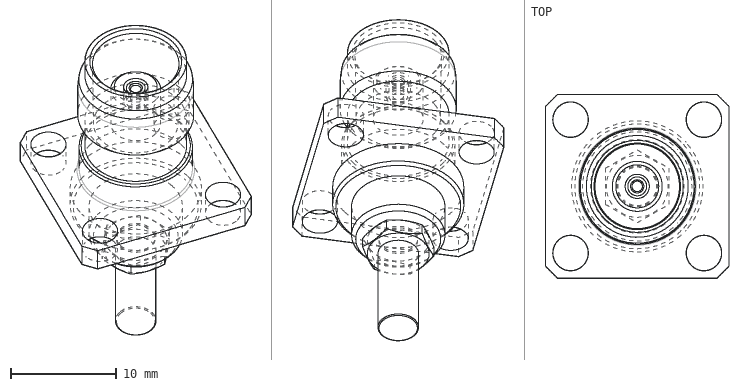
import cadquery as cq
import math


flange_width = 17.5
flange_thickness = 2.45
flange_corner_chamfer = 1.15
mount_hole_diameter = 3.35
mount_hole_spacing = 12.7

barrel_height = 14.5
barrel_radius = 4.85
collar_radius = 5.4
collar_height = 3.2
collar_chamfer = 0.2
collar_root_fillet = 0.2
ring_radius = 5.53
ring_shoulder_radius = 5.42
ring_bottom_z = 6.7
ring_full_bottom_z = 7.4
ring_full_top_z = 11.1
ring_shoulder_z = 12.1
ring_top_z = 12.65

mouth_radius = 4.38
mouth_depth = 0.35
bore_top_radius = 4.12
bore_floor_radius = 4.03
bore_depth = 8.3

insulator_radius = 2.38
insulator_depth = 3.45
insulator_chamfer = 0.33
insulator_bore_radius = 1.15
insulator_bore_depth = 2.0
contact_radius = 0.9
contact_recess = 0.14
contact_bore_radius = 0.5
contact_bore_depth = 2.0
contact_lead_in = 0.13

pilot_radius = 6.25
pilot_height = 2.5
pilot_chamfer = 0.3
body_radius = 4.45
body_height = 4.1
body_chamfer_height = 0.5
body_chamfer_width = 0.4

nut_across_flats = 6.0
nut_sides = 6
nut_height = 1.65
nut_gap = 0.2
nut_chamfer_angle = 30
nut_face_radius = 2.95
nut_neck_radius = 1.85
tube_radius = 1.93
tube_length = 9.45
tube_chamfer = 0.1

flange_bottom_z = -flange_thickness
pilot_bottom_z = flange_bottom_z - pilot_height
body_bottom_z = pilot_bottom_z - body_height
nut_top_z = body_bottom_z - nut_gap
nut_bottom_z = nut_top_z - nut_height
tube_bottom_z = nut_bottom_z - tube_length
insulator_top_z = barrel_height - insulator_depth
contact_top_z = insulator_top_z - contact_recess
bore_floor_z = barrel_height - bore_depth


def revolve_profile(points):
    """Turn a closed (radius, z) outline about the Z axis."""
    outline = cq.Workplane("XZ").polyline(points).close()
    return outline.revolve(360, (0, 0, 0), (0, 1, 0))


def cylinder(radius, bottom_z, top_z):
    return cq.Workplane("XY").workplane(offset=bottom_z).circle(radius).extrude(top_z - bottom_z)


def make_flange():
    plate = cq.Workplane("XY").workplane(offset=flange_bottom_z)
    plate = plate.rect(flange_width, flange_width).extrude(flange_thickness)
    plate = plate.edges("|Z").chamfer(flange_corner_chamfer)
    holes = plate.faces(">Z").workplane().rect(mount_hole_spacing, mount_hole_spacing, forConstruction=True)
    return holes.vertices().hole(mount_hole_diameter)


def make_barrel():
    """Barrel with its collar, filleted root and double-coned ring."""
    fillet_middle = collar_root_fillet * (1 - math.sqrt(0.5))
    outline = (
        cq.Workplane("XZ")
        .moveTo(0, 0)
        .lineTo(collar_radius + collar_root_fillet, 0)
        .threePointArc((collar_radius + fillet_middle, fillet_middle), (collar_radius, collar_root_fillet))
        .lineTo(collar_radius, collar_height - collar_chamfer)
        .lineTo(collar_radius - collar_chamfer, collar_height)
        .lineTo(barrel_radius, collar_height)
        .lineTo(barrel_radius, ring_bottom_z)
        .lineTo(ring_radius, ring_full_bottom_z)
        .lineTo(ring_radius, ring_full_top_z)
        .lineTo(ring_shoulder_radius, ring_shoulder_z)
        .lineTo(barrel_radius, ring_top_z)
        .lineTo(barrel_radius, barrel_height)
        .lineTo(0, barrel_height)
        .close()
    )
    return outline.revolve(360, (0, 0, 0), (0, 1, 0))


def make_socket_cavity():
    return revolve_profile([
        (0, barrel_height),
        (mouth_radius, barrel_height),
        (bore_top_radius, barrel_height - mouth_depth),
        (bore_floor_radius, bore_floor_z),
        (0, bore_floor_z),
    ])


def make_insulator():
    """Chamfered insulator post, hollow at the top around the contact."""
    post = cylinder(insulator_radius, bore_floor_z, insulator_top_z)
    post = post.faces(">Z").edges().chamfer(insulator_chamfer)
    hollow = cylinder(insulator_bore_radius, insulator_top_z - insulator_bore_depth, insulator_top_z)
    return post.cut(hollow)


def make_contact():
    """Tubular contact with a countersunk mouth."""
    pin = cylinder(contact_radius, bore_floor_z, contact_top_z)
    bore = cylinder(contact_bore_radius, contact_top_z - contact_bore_depth, contact_top_z)
    pin = pin.cut(bore)
    mouth_edge = cq.selectors.RadiusNthSelector(0)
    return pin.faces(">Z").edges(mouth_edge).chamfer(contact_lead_in)


def make_lower_body():
    return revolve_profile([
        (0, flange_bottom_z),
        (pilot_radius, flange_bottom_z),
        (pilot_radius, pilot_bottom_z + pilot_chamfer),
        (pilot_radius - pilot_chamfer, pilot_bottom_z),
        (body_radius, pilot_bottom_z),
        (body_radius, body_bottom_z + body_chamfer_height),
        (body_radius - body_chamfer_width, body_bottom_z),
        (0, body_bottom_z),
    ])


def make_nut():
    """Hexagon with flats facing +X and -X, corners trimmed by a cone at each end."""
    across_corners = nut_across_flats / math.cos(math.pi / nut_sides)
    hexagon = cq.Workplane("XY").workplane(offset=nut_bottom_z).polygon(nut_sides, across_corners)
    hexagon = hexagon.extrude(nut_height).rotate((0, 0, 0), (0, 0, 1), 180 / nut_sides)
    rim_radius = across_corners / 2
    cone_height = (rim_radius - nut_face_radius) * math.tan(math.radians(nut_chamfer_angle))
    trim = revolve_profile([
        (0, nut_bottom_z),
        (nut_face_radius, nut_bottom_z),
        (rim_radius, nut_bottom_z + cone_height),
        (rim_radius, nut_top_z - cone_height),
        (nut_face_radius, nut_top_z),
        (0, nut_top_z),
    ])
    return hexagon.intersect(trim)


def make_tube():
    tube = cylinder(tube_radius, tube_bottom_z, nut_bottom_z)
    return tube.faces("<Z").edges().chamfer(tube_chamfer)


barrel = make_barrel().cut(make_socket_cavity())
nut_neck = cylinder(nut_neck_radius, nut_top_z, body_bottom_z)

result = (
    make_flange()
    .union(barrel)
    .union(make_insulator())
    .union(make_contact())
    .union(make_lower_body())
    .union(nut_neck)
    .union(make_nut())
    .union(make_tube())
)